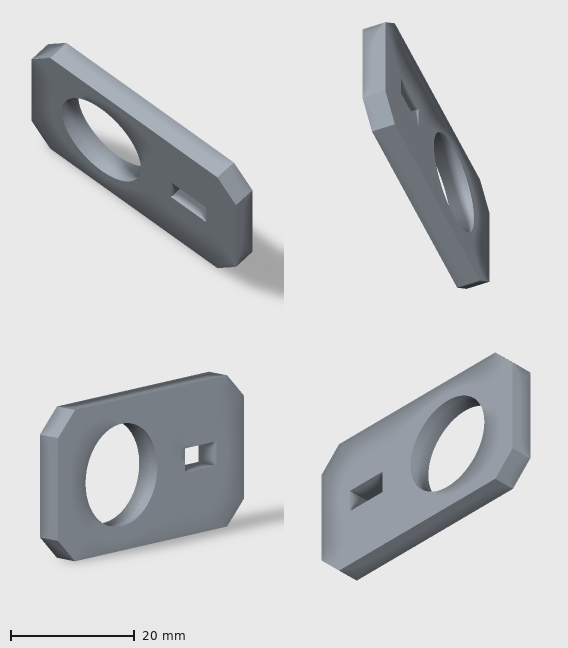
import cadquery as cq

length = 44.0
thickness = 4.0
height = 25.0
corner_chamfer = 4.0

hole_diameter = 17.0
hole_x = -7.0

slot_length = 7.5
slot_height = 4.0
slot_x = 11.75

plate = cq.Workplane("XY").box(length, thickness, height)
plate = plate.edges("|Y").chamfer(corner_chamfer)

front_face = plate.faces("<Y").workplane(origin=(0, 0, 0))
plate = front_face.center(hole_x, 0).hole(hole_diameter)

front_face = plate.faces("<Y").workplane(origin=(0, 0, 0))
result = front_face.center(slot_x, 0).rect(slot_length, slot_height).cutThruAll()